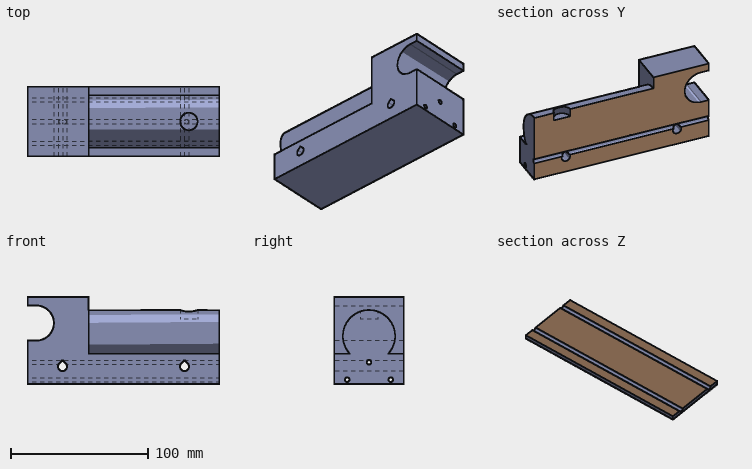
import cadquery as cq
import math

LENGTH = 139.7
WIDTH = 50.8
HEIGHT = 63.5
BASE_HEIGHT = 22.225
HEAD_LENGTH = 44.45

BAR_DIAMETER = 38.1
BAR_AXIS_Z = 34.925

SLOT_DIAMETER = 25.4
SLOT_TOP_WALL = 6.35
SLOT_AXIS_Z = HEIGHT - SLOT_TOP_WALL - SLOT_DIAMETER / 2
SLOT_AXIS_X = 6.35

CROSS_HOLE_DIAMETER = 6.35
CROSS_HOLE_INSET = 25.4
CROSS_HOLE_Z = 12.7

LONG_HOLE_DIAMETER = 3.175
UPPER_HOLE_Z = 15.875
LOWER_HOLE_Z = 3.175
LOWER_HOLE_OFFSET_Y = 15.875

BAR_HOLE_DIAMETER = 12.7
BAR_HOLE_X = 117.475
BAR_HOLE_DEPTH = 6.35


def make_block(length, height):
    """Block of full width starting at x = 0, z = 0 and centred on y = 0."""
    return cq.Workplane("XY").box(length, WIDTH, height, centered=(False, True, False))


def make_rod(diameter, y, z, start_x, length):
    """Cylinder along +X."""
    return cq.Workplane("YZ", origin=(start_x, y, z)).circle(diameter / 2).extrude(length)


def make_slot():
    """Straight slot along Y ending in a half round."""
    radius = SLOT_DIAMETER / 2
    return (
        cq.Workplane("XZ")
        .moveTo(0, SLOT_AXIS_Z - radius)
        .lineTo(SLOT_AXIS_X, SLOT_AXIS_Z - radius)
        .threePointArc((SLOT_AXIS_X + radius, SLOT_AXIS_Z), (SLOT_AXIS_X, SLOT_AXIS_Z + radius))
        .lineTo(0, SLOT_AXIS_Z + radius)
        .close()
        .extrude(WIDTH / 2, both=True)
    )


def make_teardrop(x):
    """Round hole along Y whose top runs tangentially at 45 degrees to a point."""
    radius = CROSS_HOLE_DIAMETER / 2
    tangent_offset = radius * math.sqrt(0.5)
    tip_height = radius * math.sqrt(2)
    return (
        cq.Workplane("XZ", origin=(x, 0, CROSS_HOLE_Z))
        .moveTo(-tangent_offset, tangent_offset)
        .threePointArc((0, -radius), (tangent_offset, tangent_offset))
        .lineTo(0, tip_height)
        .close()
        .extrude(WIDTH / 2, both=True)
    )


def make_bar_hole():
    """Flat-bottomed hole going down from the crest of the bar."""
    crest_z = BAR_AXIS_Z + BAR_DIAMETER / 2
    return (
        cq.Workplane("XY", origin=(BAR_HOLE_X, 0, crest_z))
        .circle(BAR_HOLE_DIAMETER / 2)
        .extrude(-BAR_HOLE_DEPTH)
    )


result = make_block(LENGTH, BASE_HEIGHT).union(make_block(HEAD_LENGTH, HEIGHT))
result = result.union(make_rod(BAR_DIAMETER, 0, BAR_AXIS_Z, HEAD_LENGTH, LENGTH - HEAD_LENGTH))

result = result.cut(make_slot())

for hole_x in (CROSS_HOLE_INSET, LENGTH - CROSS_HOLE_INSET):
    result = result.cut(make_teardrop(hole_x))

long_hole_positions = [
    (0, UPPER_HOLE_Z),
    (-LOWER_HOLE_OFFSET_Y, LOWER_HOLE_Z),
    (LOWER_HOLE_OFFSET_Y, LOWER_HOLE_Z),
]
for hole_y, hole_z in long_hole_positions:
    result = result.cut(make_rod(LONG_HOLE_DIAMETER, hole_y, hole_z, 0, LENGTH))

result = result.cut(make_bar_hole())